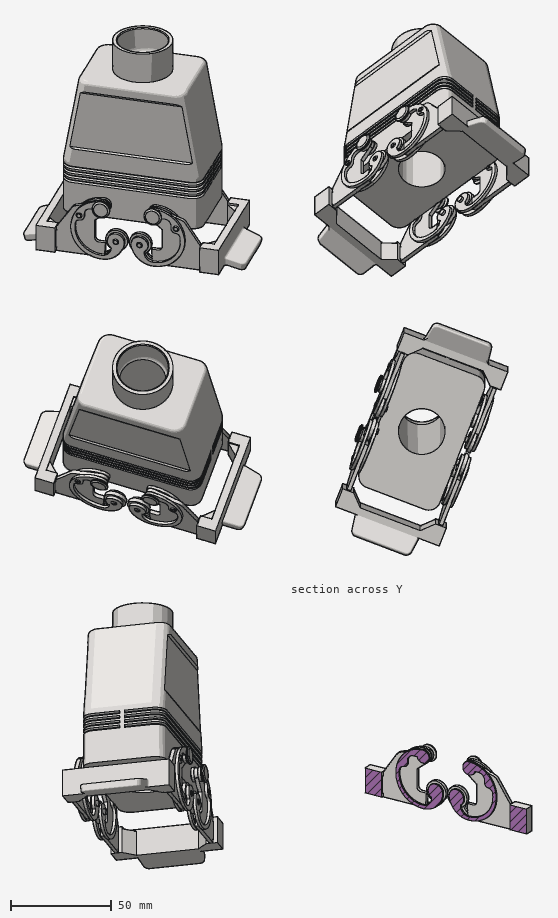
import cadquery as cq
import math

overall_length = 115.8
overall_width = 58.0

hood_length = 72.7
hood_width = 43.0
hood_height = 74.9
taper_start = 28.4
taper_angle = 10.0
taper_blend_radius = 5.8
hood_corner_radius = 6.0
hood_top_radius = 2.3

recess_bottom = 36.8
recess_top = 67.7
recess_depth = 0.8
recess_bottom_slope = 0.8
recess_top_slope = 1.3

groove_count = 4
groove_pitch = 2.5
lowest_groove = 17.8
groove_depth = 0.75
groove_gap = 2.5

tube_top = 91.0
tube_radius = 15.0
bore_radius = 12.7
bore_depth = 11.2
bore_chamfer = 0.5
passage_radius = 11.6
shoulder_height = 2.4

frame_outer_x = 47.4
frame_inner_x = 37.5
frame_bar_thickness = 3.9
frame_width = 55.3
frame_leg_thickness = 5.9
frame_bottom = -20.3
frame_top = -6.5
gusset_leg = 5.8
gusset_drop = 1.0

handle_angle = 17.0
handle_thickness = 4.0
handle_root_width = 33.8
handle_tip_width = 31.0
handle_corner_radius = 2.9
handle_edge_radius = 0.8
handle_root_radius = 1.2

plate_center_y = 24.5
middle_thickness = 2.0
hook_thickness = 1.5
stack_half = middle_thickness / 2 + hook_thickness
plate_root_gap = 0.3
tenon_length = 3.0
tenon_bottom = -18.4
tenon_top = -8.8

shoulder_start = (29.2, 5.3)
shoulder_middle = (28.1, 6.1)
shoulder_end = (26.9, 6.6)
middle_hub_radius = 3.2
hub_tangent_angle = 65.0
throat_x = 17.5
throat_top = -0.3
throat_bottom = -12.2
throat_radius = 2.2
throat_lip_angle = 232.0
foot_top_x = 11.9
foot_bottom_x = 12.5

hook_center = (13.4, -4.7)
hook_outer_radius = 16.1
hook_inner_radius = 13.9
hook_pocket_radius = 4.9
hub_radius = 3.7
hub_center = (hook_center[0], hook_center[1] + hook_outer_radius - hub_radius)
roller_center = (6.1, -10.0)
roller_radius = 5.7
roller_cheek_radius = 4.4
rivet_center = (25.1, 2.1)
rivet_boss_radius = 2.7
boss_lower_blend = 2.3
boss_upper_blend = 3.2
boss_lip_z = 3.4

rivet_radius = 1.5
rivet_head = 0.5
button_radius = 4.5
button_thickness = 1.0
button_chamfer = 0.9
button_chamfer_height = 0.5
neck_radius = 2.4
hood_overlap = 0.6


def polar(center, radius, degrees):
    angle = math.radians(degrees)
    return (center[0] + radius * math.cos(angle), center[1] + radius * math.sin(angle))


def toward(start, end, distance):
    """Point at a distance from start on the ray through end."""
    span = math.dist(start, end)
    return tuple(a + (b - a) * distance / span for a, b in zip(start, end))


def circle_crossing(center_a, radius_a, center_b, radius_b):
    """Crossing of two circles on the left of the direction from a to b."""
    span = math.dist(center_a, center_b)
    along = (span**2 + radius_a**2 - radius_b**2) / (2 * span)
    aside = math.sqrt(radius_a**2 - along**2)
    ux = (center_b[0] - center_a[0]) / span
    uz = (center_b[1] - center_a[1]) / span
    return (center_a[0] + along * ux - aside * uz, center_a[1] + along * uz + aside * ux)


def side_plane(y):
    """XZ drawing plane at the given y; a negative extrusion runs toward +Y."""
    return cq.Workplane(cq.Plane(origin=(0, y, 0), xDir=(1, 0, 0), normal=(0, -1, 0)))


def side_disc(center, radius, y_start, y_end):
    return side_plane(y_start).center(*center).circle(radius).extrude(y_start - y_end)


def mirrored_pair(body, plane):
    return body.union(body.mirror(plane))


def make_hood():
    half = hood_length / 2
    top_half = half - (hood_height - taper_start) * math.tan(math.radians(taper_angle))
    outline = [
        (half, 0),
        (half, taper_start),
        (top_half, hood_height),
        (-top_half, hood_height),
        (-half, taper_start),
        (-half, 0),
    ]
    hood = side_plane(-hood_width / 2).polyline(outline).close().extrude(-hood_width)
    kink_box = cq.selectors.BoxSelector(
        (-hood_length, -hood_width, taper_start - groove_pitch),
        (hood_length, hood_width, taper_start + groove_pitch),
    )
    hood = hood.edges(kink_box).edges("|Y").fillet(taper_blend_radius)
    hood = hood.faces("<Y or >Y").edges("not(#Z)").fillet(hood_corner_radius)
    return hood.faces(">Z").edges().fillet(hood_top_radius)


def cut_recesses(hood):
    face = -hood_width / 2
    profile = [
        (face, recess_bottom - recess_bottom_slope),
        (face + recess_depth, recess_bottom),
        (face + recess_depth, recess_top),
        (face, recess_top + recess_top_slope),
    ]
    cutter = cq.Workplane("YZ").polyline(profile).close().extrude(hood_length / 2, both=True)
    return hood.cut(mirrored_pair(cutter, "XZ"))


def groove_cutter(height):
    """Ring whose inner faces form a V running round the hood, with a gap at each end."""
    outer = (hood_length, hood_width)
    inner = (hood_length - 2 * groove_depth, hood_width - 2 * groove_depth)
    ring = cq.Workplane("XY", origin=(0, 0, height - groove_depth))
    ring = ring.rect(outer[0] + 1.2, outer[1] + 1.2).extrude(2 * groove_depth)
    inner_corner = hood_corner_radius - groove_depth
    waist = cq.Workplane("XY", origin=(0, 0, height)).sketch().rect(*inner)
    upper_core = waist.vertices().fillet(inner_corner).finalize().extrude(groove_depth, taper=-45)
    core = upper_core.union(upper_core.mirror("XY", (0, 0, height)))
    gap = cq.Workplane("XY", origin=(0, 0, height)).box(2 * hood_length, groove_gap, 4 * groove_depth)
    return ring.cut(core).cut(gap)


def make_bore():
    shoulder_bottom = tube_top - bore_depth - shoulder_height
    rim_radius = bore_radius + bore_chamfer
    return (
        cq.Workplane("XZ")
        .moveTo(0, tube_top)
        .lineTo(rim_radius, tube_top)
        .lineTo(bore_radius, tube_top - bore_chamfer)
        .lineTo(bore_radius, tube_top - bore_depth)
        .tangentArcPoint((passage_radius, shoulder_bottom), relative=False)
        .lineTo(passage_radius, 0)
        .lineTo(0, 0)
        .close()
        .revolve(360, (0, 0, 0), (0, 1, 0))
    )


def make_frame():
    height = frame_top - frame_bottom
    bar_inner_x = frame_outer_x - frame_bar_thickness
    leg_inner_y = frame_width / 2 - frame_leg_thickness
    start = cq.Workplane("XY", origin=(0, 0, frame_bottom))
    depth = frame_outer_x - frame_inner_x
    frame = start.center(frame_inner_x + depth / 2, 0).rect(depth, frame_width).extrude(height)
    window = [
        (frame_inner_x - 1.2, leg_inner_y),
        (bar_inner_x, leg_inner_y),
        (bar_inner_x, -leg_inner_y),
        (frame_inner_x - 1.2, -leg_inner_y),
    ]
    frame = frame.cut(start.polyline(window).close().extrude(height))
    corner = [
        (bar_inner_x, leg_inner_y),
        (bar_inner_x - gusset_leg, leg_inner_y),
        (bar_inner_x, leg_inner_y - gusset_leg),
    ]
    gusset = start.polyline(corner).close().extrude(height - gusset_drop)
    return frame.union(mirrored_pair(gusset, "XZ"))


def handle_plane():
    """Plane of the handle's underside, starting at the lower outer edge of the frame."""
    tilt = math.radians(handle_angle)
    return cq.Plane(
        origin=(frame_outer_x, 0, frame_bottom),
        xDir=(math.cos(tilt), 0, -math.sin(tilt)),
        normal=(math.sin(tilt), 0, math.cos(tilt)),
    )


def make_handle():
    """Tapered tongue leaning down from the lower edge of the frame, rounded at its tip."""
    tilt = math.radians(handle_angle)
    rounding_loss = handle_edge_radius * (math.cos(tilt) + math.sin(tilt) - 1)
    reach = overall_length / 2 + rounding_loss - frame_outer_x - handle_thickness * math.sin(tilt)
    length = reach / math.cos(tilt)
    root = -frame_bar_thickness / 2
    slope = (handle_root_width - handle_tip_width) / 2 / length
    root_half = handle_root_width / 2 - slope * root
    tip_half = handle_tip_width / 2
    plane = handle_plane()
    outline = [(root, -root_half), (length, -tip_half), (length, tip_half), (root, root_half)]
    handle = cq.Workplane(plane).polyline(outline).close().extrude(handle_thickness)
    tip_face = cq.selectors.DirectionMinMaxSelector(plane.xDir, True)
    corners = cq.selectors.ParallelDirSelector(plane.zDir)
    handle = handle.faces(tip_face).edges(corners).fillet(handle_corner_radius)
    rims = handle.faces(cq.selectors.ParallelDirSelector(plane.zDir)).edges()
    root_edge = cq.selectors.DirectionMinMaxSelector(plane.xDir, False)
    return rims.edges(cq.selectors.InverseSelector(root_edge)).fillet(handle_edge_radius)


def make_middle_plate():
    root_x = frame_inner_x - plate_root_gap
    y_inner = plate_center_y - middle_thickness / 2
    hub_foot = polar(hub_center, hub_radius, throat_lip_angle)
    plate = (
        side_plane(y_inner)
        .moveTo(root_x, frame_bottom)
        .lineTo(root_x, frame_top)
        .lineTo(*shoulder_start)
        .threePointArc(shoulder_middle, shoulder_end)
        .lineTo(*polar(hub_center, middle_hub_radius, hub_tangent_angle))
        .lineTo(*hub_center)
        .lineTo(*hub_foot)
        .lineTo(throat_x, throat_top)
        .lineTo(throat_x, throat_bottom + throat_radius)
        .radiusArc((throat_x - throat_radius, throat_bottom), throat_radius)
        .lineTo(foot_top_x, throat_bottom)
        .lineTo(foot_bottom_x, frame_bottom)
        .close()
        .extrude(-middle_thickness)
    )
    tenon_height = tenon_top - tenon_bottom
    tenon = cq.Workplane("XY").box(tenon_length, middle_thickness, tenon_height)
    tenon = tenon.translate((frame_inner_x, plate_center_y, tenon_bottom + tenon_height / 2))
    y_outer = y_inner + middle_thickness
    plate = plate.union(tenon)
    plate = plate.union(side_disc(hub_center, middle_hub_radius, y_inner, y_outer))
    return plate.union(side_disc(roller_center, roller_radius, y_inner, y_outer))


def make_hook_plate(y_start):
    """C-shaped hook from the hinge hub round to the roller, with a boss at the rivet."""
    cx, cz = hook_center
    rx, rz = roller_center
    cheek = roller_cheek_radius

    bottom_z = cz - hook_outer_radius
    run = cx - rx
    rise = rz - bottom_z
    lower_radius = (run**2 + rise**2 - cheek**2) / (2 * (rise - cheek))
    lower_center = (cx, bottom_z + lower_radius)
    cheek_outside = toward(lower_center, roller_center, lower_radius)
    lower_middle = polar(lower_center, lower_radius, 225)

    inner_bottom = (cx, cz - hook_inner_radius)
    pocket_center = (cx, inner_bottom[1] + hook_pocket_radius)
    cusp = circle_crossing(pocket_center, hook_pocket_radius, roller_center, cheek)
    pocket_middle = polar(pocket_center, hook_pocket_radius, 225)

    boss_x, boss_z = rivet_center
    blend_z = boss_z - rivet_boss_radius - boss_lower_blend
    blend_x = cx + math.sqrt(hook_inner_radius**2 - (blend_z - cz) ** 2)
    lower_blend_center = (blend_x - boss_lower_blend, blend_z)
    boss_bottom = (lower_blend_center[0], boss_z - rivet_boss_radius)
    boss_side = (boss_x - rivet_boss_radius, boss_z)
    upper_blend_center = (boss_side[0] - boss_upper_blend, boss_lip_z)
    hook = (
        side_plane(y_start)
        .moveTo(cx, cz + hook_outer_radius)
        .threePointArc((cx + hook_outer_radius, cz), (cx, bottom_z))
        .threePointArc(lower_middle, cheek_outside)
        .lineTo(*roller_center)
        .lineTo(*cusp)
        .threePointArc(pocket_middle, inner_bottom)
        .threePointArc(polar(hook_center, hook_inner_radius, -45), (blend_x, blend_z))
        .threePointArc(polar(lower_blend_center, boss_lower_blend, 45), boss_bottom)
        .threePointArc(polar(rivet_center, rivet_boss_radius, 225), boss_side)
        .lineTo(boss_side[0], boss_lip_z)
        .threePointArc(
            polar(upper_blend_center, boss_upper_blend, 45),
            (upper_blend_center[0], boss_lip_z + boss_upper_blend),
        )
        .lineTo(cx, boss_lip_z + boss_upper_blend)
        .close()
        .extrude(-hook_thickness)
    )
    y_end = y_start + hook_thickness
    hook = hook.union(side_disc(hub_center, hub_radius, y_start, y_end))
    return hook.union(side_disc(roller_center, cheek, y_start, y_end))


def make_rivet(center):
    """Pin from the hood wall through the plate stack, with a bevelled outer head."""
    y_start = hood_width / 2 - hood_overlap
    y_end = plate_center_y + stack_half + rivet_head
    return side_disc(center, rivet_radius, y_start, y_end).faces(">Y").chamfer(rivet_head)


def make_hinge():
    """Hinge neck from the hood wall through the hub, closed by a wider button."""
    y_outer = overall_width / 2
    y_button = y_outer - button_thickness
    neck = side_disc(hub_center, neck_radius, hood_width / 2 - hood_overlap, y_button)
    button = side_disc(hub_center, button_radius, y_button, y_outer)
    return neck.union(button.faces(">Y").chamfer(button_chamfer_height, button_chamfer))


def make_lever_side():
    """Plates and pins of the lever on the +Y side of the hood."""
    side = make_middle_plate()
    side = side.union(make_hook_plate(plate_center_y - stack_half))
    side = side.union(make_hook_plate(plate_center_y + middle_thickness / 2))
    for center in (rivet_center, roller_center):
        side = side.union(make_rivet(center))
    return side.union(make_hinge())


def round_handle_root(frame):
    """Fillet where the top and the sides of the handle meet the frame."""
    skirt_depth = 3 * handle_root_radius
    skirt_bottom = frame_bottom - skirt_depth
    skirt = cq.Workplane("XY").box(
        frame_bar_thickness, frame_width, skirt_depth, centered=(True, True, False)
    )
    skirt = skirt.translate((frame_outer_x - frame_bar_thickness / 2, 0, skirt_bottom))
    near = 0.1
    root_box = cq.selectors.BoxSelector(
        (frame_outer_x - near, -handle_root_width / 2 - near, frame_bottom - near),
        (frame_outer_x + near, handle_root_width / 2 + near, frame_top - near),
    )
    rounded = frame.union(skirt).edges(root_box).fillet(handle_root_radius)

    trim_reach = 2 * handle_root_radius
    trim_drop = trim_reach * math.tan(math.radians(handle_angle))
    trim = [
        (frame_inner_x, frame_bottom),
        (frame_outer_x, frame_bottom),
        (frame_outer_x + trim_reach, frame_bottom - trim_drop),
        (frame_outer_x + trim_reach, skirt_bottom),
        (frame_inner_x, skirt_bottom),
    ]
    return rounded.cut(side_plane(-frame_width / 2).polyline(trim).close().extrude(-frame_width))


hood = cut_recesses(make_hood())
for index in range(groove_count):
    hood = hood.cut(groove_cutter(lowest_groove + index * groove_pitch))
tube = cq.Workplane("XY", origin=(0, 0, hood_height - hood_top_radius)).circle(tube_radius)
tube = tube.extrude(tube_top - hood_height + hood_top_radius)
hood = hood.union(tube).cut(make_bore())

frame = make_frame().union(make_handle())
plates = mirrored_pair(make_lever_side(), "XZ")
right_lever = round_handle_root(frame).union(plates)
left_lever = frame.union(plates).mirror("YZ")

result = hood.union(right_lever).union(left_lever)